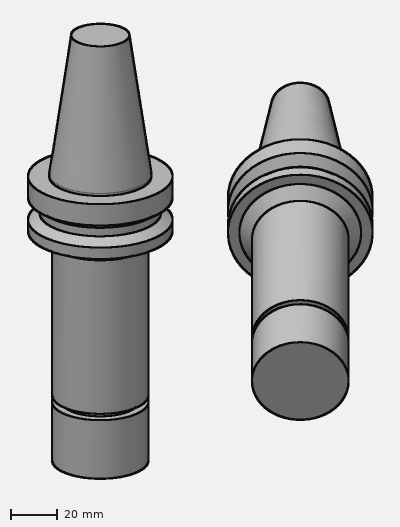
import cadquery as cq

total_length = 200.5
body_diameter = 42.0

nut_length = 27.7

neck_diameter = 33.5
neck_length = 3.0

taper_length = 65.3
taper_ratio = 7 / 24
gauge_diameter = 44.5
land_length = 1.2

flange_diameter = 63.0
groove_diameter = 53.0
upper_rim_length = 10.0
groove_flank_length = 3.2
groove_floor_length = 4.0
lower_rim_length = 5.5

transition_length = 5.0

body_radius = body_diameter / 2
neck_radius = neck_diameter / 2
gauge_radius = gauge_diameter / 2
taper_tip_radius = (gauge_diameter - taper_length * taper_ratio) / 2
flange_radius = flange_diameter / 2
groove_radius = groove_diameter / 2

neck_top = nut_length + neck_length
gauge_height = total_length - taper_length
flange_top = gauge_height - land_length
upper_rim_bottom = flange_top - upper_rim_length
groove_floor_top = upper_rim_bottom - groove_flank_length
groove_floor_bottom = groove_floor_top - groove_floor_length
lower_rim_top = groove_floor_bottom - groove_flank_length
flange_bottom = lower_rim_top - lower_rim_length
body_top = flange_bottom - transition_length


def make_holder():
    """Taper shank, grooved flange, body and neck, turned about the Z axis."""
    half_profile = [
        (0, nut_length),
        (neck_radius, nut_length),
        (neck_radius, neck_top),
        (body_radius, neck_top),
        (body_radius, body_top),
        (groove_radius, flange_bottom),
        (flange_radius, flange_bottom),
        (flange_radius, lower_rim_top),
        (groove_radius, groove_floor_bottom),
        (groove_radius, groove_floor_top),
        (flange_radius, upper_rim_bottom),
        (flange_radius, flange_top),
        (gauge_radius, flange_top),
        (gauge_radius, gauge_height),
        (taper_tip_radius, total_length),
        (0, total_length),
    ]
    return cq.Workplane("XZ").polyline(half_profile).close().revolve(360, (0, 0), (0, 1))


def make_nut():
    """Plain round nut that meets the lower end of the neck."""
    return cq.Workplane("XY").circle(body_radius).extrude(nut_length)


holder = make_holder()
nut = make_nut()

result = cq.Compound.makeCompound([holder.val(), nut.val()])